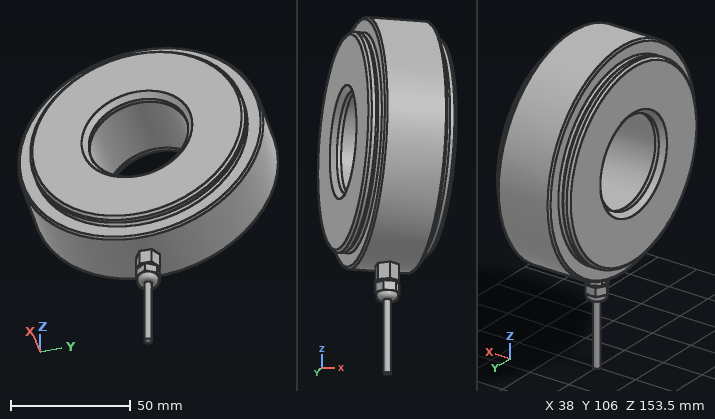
import cadquery as cq
import math


total_width = 38.0
housing_diameter = 106.0
housing_chamfer = 0.9
washer_diameter = 93.0
washer_thickness = 4.3
washer_outer_chamfer = 1.2
groove_depth = 1.2
bore_diameter = 43.0
bore_chamfer = 2.5

hex_across_flats = 9.0
hex_length = 7.0
trim_depth = 1.5
neck_diameter = 8.0
neck_length = 0.8
nut_length = 4.3
cap_diameter = hex_across_flats
cap_length = 3.0
cap_fillet = 1.7

cable_diameter = 3.2
total_height = 153.5

core_half_width = total_width / 2 - washer_thickness
rim_half_width = core_half_width - groove_depth
housing_radius = housing_diameter / 2
washer_radius = washer_diameter / 2
bore_radius = bore_diameter / 2
cable_end_z = housing_radius - total_height
gland_root_z = -housing_radius + trim_depth


def x_cylinder(diameter, half_width):
    """Solid cylinder along X, centred on the origin."""
    return cq.Workplane("YZ").circle(diameter / 2).extrude(half_width, both=True)


def down_cylinder(diameter, top_z, bottom_z):
    """Solid cylinder along Z between two heights."""
    return cq.Workplane("XY").workplane(offset=bottom_z).circle(diameter / 2).extrude(top_z - bottom_z)


def down_hexagon(top_z, bottom_z, turn):
    """Hexagonal prism along Z; a turn of zero puts two corners on the X axis."""
    across_corners = hex_across_flats / math.cos(math.radians(30))
    prism = cq.Workplane("XY").workplane(offset=bottom_z).polygon(6, across_corners).extrude(top_z - bottom_z)
    return prism.rotate((0, 0, 0), (0, 0, 1), turn)


def make_housing():
    """Rim with a conical shoulder on each side, bored through."""
    half_profile = [
        (core_half_width, bore_radius),
        (core_half_width, washer_radius - groove_depth),
        (rim_half_width, washer_radius),
        (rim_half_width, housing_radius - housing_chamfer),
        (rim_half_width - housing_chamfer, housing_radius),
    ]
    mirrored_half = [(-x, r) for x, r in reversed(half_profile)]
    section = cq.Workplane("XY").polyline(half_profile + mirrored_half).close()
    return section.revolve(360, (0, 0, 0), (1, 0, 0))


def make_washer(side):
    """Pressure washer on the +X (side = 1) or -X (side = -1) face of the housing."""
    inner_x = core_half_width
    outer_x = total_width / 2
    profile = [
        (inner_x, bore_radius),
        (inner_x, washer_radius - groove_depth),
        (inner_x + groove_depth, washer_radius),
        (outer_x - washer_outer_chamfer, washer_radius),
        (outer_x, washer_radius - washer_outer_chamfer),
        (outer_x, bore_radius + bore_chamfer),
        (outer_x - bore_chamfer, bore_radius),
    ]
    section = cq.Workplane("XY").polyline([(side * x, r) for x, r in profile]).close()
    return section.revolve(360, (0, 0, 0), (1, 0, 0))


def make_gland():
    """Hexagonal base, neck, nut and rounded cap, with a through hole for the cable."""
    neck_top_z = -housing_radius - hex_length
    nut_top_z = neck_top_z - neck_length
    cap_top_z = nut_top_z - nut_length
    cap_end_z = cap_top_z - cap_length
    base = down_hexagon(gland_root_z, neck_top_z, 30)
    neck = down_cylinder(neck_diameter, neck_top_z, nut_top_z)
    nut = down_hexagon(nut_top_z, cap_top_z, 0)
    cap = down_cylinder(cap_diameter, cap_top_z, cap_end_z).faces("<Z").edges().fillet(cap_fillet)
    cable_hole = down_cylinder(cable_diameter, gland_root_z, cap_end_z)
    gland = base.union(neck).union(nut).union(cap).cut(cable_hole)
    return gland.cut(x_cylinder(housing_diameter, rim_half_width))


def make_cable():
    """Cable running from the housing rim down through the gland."""
    cable = down_cylinder(cable_diameter, gland_root_z, cable_end_z)
    return cable.cut(x_cylinder(housing_diameter, rim_half_width))


housing = make_housing()
washers = [make_washer(side) for side in (-1, 1)]
gland = make_gland()
cable = make_cable()

result = cq.Compound.makeCompound(
    [housing.val(), *[washer.val() for washer in washers], gland.val(), cable.val()]
)